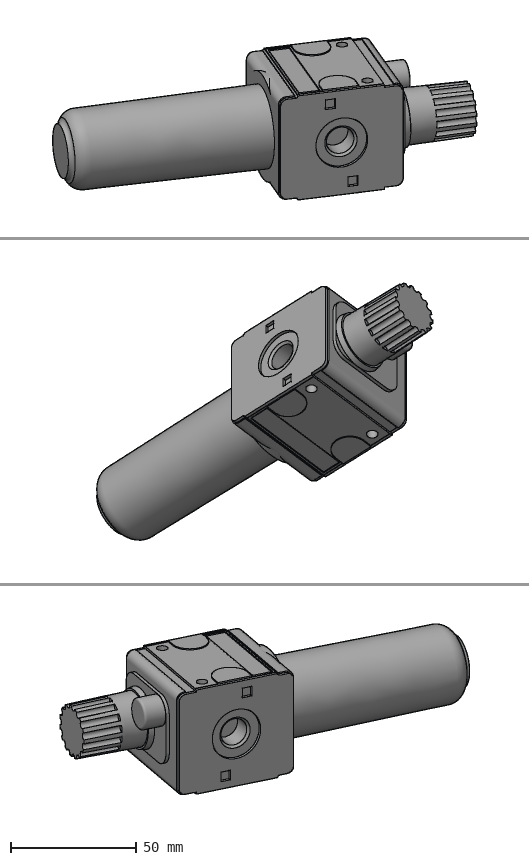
import cadquery as cq
import math


HOUSING_WIDTH = 47.9
HOUSING_DEPTH = 52.0
BAND_HALF_HEIGHT = 22.5
DIP_HALF_HEIGHT = 22.0
PAD_HALF_HEIGHT = 23.0
BOSS_HALF_HEIGHT = 23.5
EDGE_RADIUS = 3.4
SIDE_PLATE_THICKNESS = 1.3
SIDE_PLATE_INSET = 0.59
SIDE_PAD_INSET = 0.2

FRONT_BAND_END = 6.9
PAD_BACK = 43.8
BACK_BAND_START = 48.0

POCKET_FRONT = 8.9
POCKET_BACK = 17.6
POCKET_LENGTH = 43.0
POCKET_DEPTH = 0.5

PORT_Y = HOUSING_DEPTH / 2
BOSS_RADIUS = 7.5
BOSS_CENTER_X = 18.3

COLLAR_RADIUS = 22.5

MOUNT_HOLE_DIAMETER = 4.5
MOUNT_HOLE_X = 18.0
MOUNT_HOLE_Y = 38.5

PORT_SEAT_RADIUS = 10.8
SIDE_RECESS_DEPTH = 1.3
PORT_RADIUS = 5.7
PORT_CHAMFER = 1.0
PORT_DEPTH = 10.8
MARK_SIZE = 4.2
MARK_OFFSET_Y = 4.7
MARK_OFFSET_Z = 17.5

BASE_PLATE_THICKNESS = 1.5
BASE_CORNER_RADIUS = 6.7
FLANGE_HEIGHT = 2.5
FLANGE_BASE_RADIUS = 13.0
FLANGE_TOP_RADIUS = 12.5
KNOB_X = 7.0
KNOB_BASE_RADIUS = 11.6
KNOB_END_RADIUS = 11.1
KNOB_END_Y = 84.0
KNURL_COUNT = 15
KNURL_RADIUS = 1.43
KNURL_START_Y = 67.2

PLUG_X = -9.4
PLUG_Z = 10.0
PLUG_RADIUS = 6.5
PLUG_END_Y = 62.7
PLUG_EDGE_RADIUS = 1.0

BOWL_ROOT_RADIUS = 17.1
BOWL_TIP_RADIUS = 16.5
BOWL_WALL_LENGTH = 76.3
BOWL_ROUND_LENGTH = 81.8
BOWL_CAP_RADIUS = 11.1
BOWL_LENGTH = 84.0

BASE_PLATE_Y = HOUSING_DEPTH + BASE_PLATE_THICKNESS
FLANGE_TOP_Y = BASE_PLATE_Y + FLANGE_HEIGHT
INNER_WIDTH = HOUSING_WIDTH - 2 * SIDE_PLATE_THICKNESS
MIRRORED_SIDES = (-1, 1)


def revolve_about_y(points, axis_x=0):
    """Solid of revolution from (radius, Y) points, about a line parallel to Y."""
    profile = cq.Workplane("XY").polyline(points).close()
    return profile.revolve(360, (0, 0, 0), (0, 1, 0)).translate((axis_x, 0, 0))


def cylinder_along_y(radius, start, end, x=0, z=0):
    return cq.Workplane("XZ", origin=(x, start, z)).circle(radius).extrude(start - end)


def block(x_range, y_range, z_range):
    """Box between the given limits along each axis."""
    size = [high - low for low, high in (x_range, y_range, z_range)]
    low_corner = (x_range[0], y_range[0], z_range[0])
    return cq.Workplane("XY").box(*size, centered=False).translate(low_corner)


def layer(width, y_start, y_end, half_height):
    """Block centred on X and Z."""
    return block((-width / 2, width / 2), (y_start, y_end), (-half_height, half_height))


def pads(width, half_height):
    """Slice through the block that forms the upper and lower pads, with hollow-curved front edges."""
    radius = half_height - DIP_HALF_HEIGHT
    pad_front = FRONT_BAND_END + radius
    middle_y = FRONT_BAND_END + radius * math.sin(math.pi / 4)
    middle_z = half_height - radius * math.cos(math.pi / 4)
    outline = (
        cq.Workplane("YZ", origin=(-width / 2, 0, 0))
        .moveTo(PAD_BACK, half_height)
        .lineTo(pad_front, half_height)
        .threePointArc((middle_y, middle_z), (FRONT_BAND_END, DIP_HALF_HEIGHT))
        .lineTo(FRONT_BAND_END, -DIP_HALF_HEIGHT)
        .threePointArc((middle_y, -middle_z), (pad_front, -half_height))
        .lineTo(PAD_BACK, -half_height)
        .close()
    )
    return outline.extrude(width)


def housing_core():
    """Main block with rounded long edges, upper and lower pads, and dips in front of and behind the pads."""
    core = layer(INNER_WIDTH, 0, HOUSING_DEPTH, BAND_HALF_HEIGHT).edges("|X").fillet(EDGE_RADIUS)
    dip = layer(INNER_WIDTH, FRONT_BAND_END, BACK_BAND_START, PAD_HALF_HEIGHT)
    dip_floor = layer(INNER_WIDTH, FRONT_BAND_END, BACK_BAND_START, DIP_HALF_HEIGHT)
    core = core.cut(dip.cut(dip_floor))
    return core.union(pads(INNER_WIDTH, PAD_HALF_HEIGHT))


def side_plates():
    """Full-width slice, slightly smaller than the core, that shows as a thin plate on each side."""
    front = SIDE_PLATE_INSET
    back = HOUSING_DEPTH - SIDE_PLATE_INSET
    half_height = BAND_HALF_HEIGHT - SIDE_PLATE_INSET
    plate = layer(HOUSING_WIDTH, front, back, half_height).edges("|X").fillet(EDGE_RADIUS - SIDE_PLATE_INSET)
    return plate.union(pads(HOUSING_WIDTH, PAD_HALF_HEIGHT - SIDE_PAD_INSET))


def round_ended_bosses():
    """Low bosses that run in from each side of the top and bottom pads."""
    straight_end = INNER_WIDTH / 2
    bosses = cq.Workplane("XY")
    for side in MIRRORED_SIDES:
        outline = (
            cq.Workplane("XY", origin=(0, PORT_Y, -BOSS_HALF_HEIGHT))
            .moveTo(side * straight_end, -BOSS_RADIUS)
            .lineTo(side * BOSS_CENTER_X, -BOSS_RADIUS)
            .threePointArc((side * (BOSS_CENTER_X - BOSS_RADIUS), 0), (side * BOSS_CENTER_X, BOSS_RADIUS))
            .lineTo(side * straight_end, BOSS_RADIUS)
            .close()
        )
        bosses = bosses.union(outline.extrude(2 * BOSS_HALF_HEIGHT))
    return bosses


def pad_pockets():
    """Long pockets sunk into the top and bottom pads."""
    floor = PAD_HALF_HEIGHT - POCKET_DEPTH
    x_range = (-POCKET_LENGTH / 2, POCKET_LENGTH / 2)
    y_range = (POCKET_FRONT, POCKET_BACK)
    upper = block(x_range, y_range, (floor, BOSS_HALF_HEIGHT))
    return upper.union(upper.mirror("XY"))


def mounting_holes():
    return (
        cq.Workplane("XY", origin=(0, MOUNT_HOLE_Y, -BOSS_HALF_HEIGHT))
        .pushPoints([(side * MOUNT_HOLE_X, 0) for side in MIRRORED_SIDES])
        .circle(MOUNT_HOLE_DIAMETER / 2)
        .extrude(2 * BOSS_HALF_HEIGHT)
    )


def side_port():
    """Cutter for the -X side: shallow seat, chamfered blind bore and two square marks."""
    face_x = -HOUSING_WIDTH / 2
    seat_x = face_x + SIDE_RECESS_DEPTH
    seat = cq.Workplane("YZ", origin=(face_x, PORT_Y, 0)).circle(PORT_SEAT_RADIUS).extrude(SIDE_RECESS_DEPTH)
    bore = (
        cq.Workplane("XY")
        .polyline([
            (seat_x, 0),
            (seat_x, PORT_RADIUS + PORT_CHAMFER),
            (seat_x + PORT_CHAMFER, PORT_RADIUS),
            (face_x + PORT_DEPTH, PORT_RADIUS),
            (face_x + PORT_DEPTH, 0),
        ])
        .close()
        .revolve(360, (0, 0, 0), (1, 0, 0))
        .translate((0, PORT_Y, 0))
    )
    marks = (
        cq.Workplane("YZ", origin=(face_x, PORT_Y, 0))
        .pushPoints([(-MARK_OFFSET_Y, MARK_OFFSET_Z), (MARK_OFFSET_Y, -MARK_OFFSET_Z)])
        .rect(MARK_SIZE, MARK_SIZE)
        .extrude(SIDE_RECESS_DEPTH)
    )
    return seat.union(bore).union(marks)


def base_plate():
    """Rounded plate that just encloses the footprints of the plug and the flange."""
    x_range = (PLUG_X - BASE_CORNER_RADIUS, KNOB_X + FLANGE_BASE_RADIUS)
    z_range = (-FLANGE_BASE_RADIUS, PLUG_Z + BASE_CORNER_RADIUS)
    return block(x_range, (HOUSING_DEPTH, BASE_PLATE_Y), z_range).edges("|Y").fillet(BASE_CORNER_RADIUS)


def knob():
    """Tapered knob on a tapered flange, with round grooves along its outer end."""
    body = revolve_about_y([
        (0, BASE_PLATE_Y),
        (FLANGE_BASE_RADIUS, BASE_PLATE_Y),
        (FLANGE_TOP_RADIUS, FLANGE_TOP_Y),
        (KNOB_BASE_RADIUS, FLANGE_TOP_Y),
        (KNOB_END_RADIUS, KNOB_END_Y),
        (0, KNOB_END_Y),
    ], KNOB_X)
    for index in range(KNURL_COUNT):
        angle = 2 * math.pi * index / KNURL_COUNT
        x = KNOB_X + KNOB_END_RADIUS * math.cos(angle)
        z = KNOB_END_RADIUS * math.sin(angle)
        body = body.cut(cylinder_along_y(KNURL_RADIUS, KNURL_START_Y, KNOB_END_Y, x, z))
    return body


def filler_plug():
    plug = cylinder_along_y(PLUG_RADIUS, BASE_PLATE_Y, PLUG_END_Y, PLUG_X, PLUG_Z)
    return plug.faces(">Y").edges().fillet(PLUG_EDGE_RADIUS)


def make_housing():
    port = side_port()
    return (
        housing_core()
        .union(side_plates())
        .union(round_ended_bosses())
        .union(cylinder_along_y(COLLAR_RADIUS, 0, EDGE_RADIUS))
        .cut(pad_pockets())
        .cut(mounting_holes())
        .cut(port)
        .cut(port.mirror("YZ"))
        .union(base_plate())
        .union(knob())
        .union(filler_plug())
    )


def make_bowl():
    """Slightly tapered bowl with a rounded end that flows through a hollow into a flat round cap."""
    hollow_radius = BOWL_LENGTH - BOWL_ROUND_LENGTH
    round_end_radius = BOWL_CAP_RADIUS + hollow_radius
    hollow_middle = (
        round_end_radius - hollow_radius * math.sin(math.pi / 4),
        hollow_radius * math.cos(math.pi / 4) - BOWL_LENGTH,
    )
    return (
        cq.Workplane("XY")
        .lineTo(BOWL_ROOT_RADIUS, 0)
        .lineTo(BOWL_TIP_RADIUS, -BOWL_WALL_LENGTH)
        .tangentArcPoint((round_end_radius, -BOWL_ROUND_LENGTH), relative=False)
        .threePointArc(hollow_middle, (BOWL_CAP_RADIUS, -BOWL_LENGTH))
        .lineTo(0, -BOWL_LENGTH)
        .close()
        .revolve(360, (0, 0, 0), (0, 1, 0))
    )


housing = make_housing()
bowl = make_bowl()

result = cq.Compound.makeCompound([housing.solids().val(), bowl.val()])